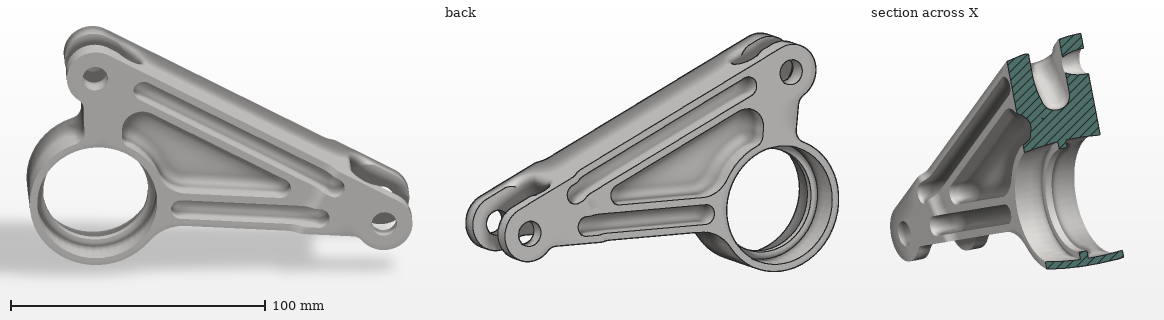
import cadquery as cq
import math


BODY_THICKNESS = 27.0
FORK_THICKNESS = 32.2
WEB_THICKNESS = 4.0

RING_RADIUS = 26.5
BORE_RADIUS = 23.6
LIP_RADIUS = 20.7
LIP_WIDTH = 3.0

LEFT_PIN_X = -26.4
PIN_SPACING = 130.1
PIN_Y = 46.0
LUG_RADIUS = 11.2
PIN_HOLE_RADIUS = 5.0

LOWER_ANGLE = 25.0
LOWER_OFFSET = 8.1
NECK_ANGLE = -60.0
NECK_OFFSET = 4.5
OUTLINE_FILLET = 5.0
RING_TO_ARM_FILLET = 16.7

STEP_START_X = 71.3
STEP_ANGLE = math.radians(40)
STEP_HOLLOW_RADIUS = 6.0
STEP_ROUND_RADIUS = 3.0

RIB_WIDTH = 3.0
GROOVE_RADIUS = 4.0
TOP_GROOVE_ENDS_X = (-7.0, 79.0)
LOWER_GROOVE_ENDS_X = (30.5, 80.0)
POCKET_CORNER_RADIUS = 4.1
POCKET_LARGE_RADIUS = 8.0
POCKET_RING_CORNER_RADIUS = 12.5
POCKET_NECK_OFFSET = -10.3

SLOT_CORNER_RADIUS = 5.0
SLOT_FLOOR_RADIUS = 4.8
SLOT_LIP_RADIUS = 3.0
LEFT_SLOT_HALF_WIDTH = 5.6
LEFT_SLOT_END_X = -11.3
LEFT_SLOT_FLOOR_Y = 32.6
RIGHT_SLOT_HALF_WIDTH = 10.3
RIGHT_SLOT_END_X = 84.4

ROLL = -29.5
ELEVATION = 9.5
YAW = 29.1

RIGHT_PIN_X = LEFT_PIN_X + PIN_SPACING
TOP_Y = PIN_Y + LUG_RADIUS
TOP_GROOVE_Y = TOP_Y - RIB_WIDTH - GROOVE_RADIUS
LOWER_GROOVE_OFFSET = LOWER_OFFSET - RIB_WIDTH - GROOVE_RADIUS
POCKET_TOP_Y = TOP_GROOVE_Y - GROOVE_RADIUS - RIB_WIDTH
POCKET_LOWER_OFFSET = LOWER_GROOVE_OFFSET - GROOVE_RADIUS - RIB_WIDTH
FLOOR_Z = WEB_THICKNESS / 2
LIP_MARGIN = 2 * SLOT_LIP_RADIUS
CLEAR = 88.1


class Edge:
    """Straight edge running at an angle, a signed distance outside (to the right of) the ring centre."""

    def __init__(self, angle, offset):
        turn = math.radians(angle)
        self.along = cq.Vector(math.cos(turn), math.sin(turn))
        self.outward = cq.Vector(math.sin(turn), -math.cos(turn))
        self.foot = self.outward * offset

    def nearest(self, point):
        return self.foot + self.along * cq.Vector(*point).dot(self.along)

    def at_x(self, x):
        return self.foot + self.along * ((x - self.foot.x) / self.along.x)

    def at_y(self, y):
        return self.foot + self.along * ((y - self.foot.y) / self.along.y)

    def meet_circle(self, centre, radius, side):
        """Crossing with a circle, ahead of (side = 1) or behind (side = -1) its centre."""
        middle = self.nearest(centre)
        half_chord = math.sqrt(radius**2 - (middle - cq.Vector(*centre)).Length ** 2)
        return middle + self.along * (side * half_chord)

    def meet_edge(self, other):
        gap = (other.foot - self.foot).dot(other.outward)
        return self.foot + self.along * (gap / self.along.dot(other.outward))


def polygon(points):
    return [(p.x, p.y) for p in points]


def symmetric_prism(outline, half_height):
    """Solid extruded from an outline by half_height to both sides of its plane."""
    return outline.extrude(half_height, both=True)


def fillet_upright(solid, point, radius):
    """Round the upright edge that stands closest to a point of the outline."""
    nearest = cq.selectors.NearestToPointSelector((point.x, point.y, solid.val().Center().z))
    return solid.edges("|Z").edges(nearest).fillet(radius)


ring_centre = (0, 0)
left_pin = (LEFT_PIN_X, PIN_Y)
right_pin = (RIGHT_PIN_X, PIN_Y)
lower_edge = Edge(LOWER_ANGLE, LOWER_OFFSET)
neck_edge = Edge(NECK_ANGLE, NECK_OFFSET)


def make_plate():
    """Outline of the whole bracket at fork thickness: arm, two lugs and ring, blended together."""
    half = FORK_THICKNESS / 2
    arm_corners = [
        cq.Vector(LEFT_PIN_X, TOP_Y),
        neck_edge.nearest(left_pin),
        neck_edge.meet_edge(lower_edge),
        lower_edge.nearest(right_pin),
        cq.Vector(RIGHT_PIN_X, TOP_Y),
    ]
    plate = symmetric_prism(cq.Workplane().polyline(polygon(arm_corners)).close(), half)
    plate = plate.union(symmetric_prism(cq.Workplane().circle(RING_RADIUS), half))
    lugs = cq.Workplane().pushPoints([left_pin, right_pin]).circle(LUG_RADIUS)
    plate = plate.union(symmetric_prism(lugs, half))
    plate = plate.clean()
    blends = [
        (neck_edge.meet_circle(left_pin, LUG_RADIUS, 1), OUTLINE_FILLET),
        (neck_edge.meet_circle(ring_centre, RING_RADIUS, -1), OUTLINE_FILLET),
        (lower_edge.meet_circle(ring_centre, RING_RADIUS, 1), RING_TO_ARM_FILLET),
        (lower_edge.meet_circle(right_pin, LUG_RADIUS, -1), OUTLINE_FILLET),
    ]
    for corner, radius in blends:
        plate = fillet_upright(plate, corner, radius)
    return plate


def make_face_relief():
    """Material above the body face, ending at the right in an S-shaped rise to the fork face."""
    body_z = BODY_THICKNESS / 2
    fork_z = FORK_THICKNESS / 2
    arc_radii = STEP_HOLLOW_RADIUS + STEP_ROUND_RADIUS
    straight_rise = fork_z - body_z - arc_radii * (1 - math.cos(STEP_ANGLE))
    straight_run = straight_rise / math.tan(STEP_ANGLE)
    step_end_x = STEP_START_X + arc_radii * math.sin(STEP_ANGLE) + straight_run

    def on_hollow(angle):
        x = STEP_START_X + STEP_HOLLOW_RADIUS * math.sin(angle)
        return (x, body_z + STEP_HOLLOW_RADIUS * (1 - math.cos(angle)))

    def on_round(angle):
        x = step_end_x - STEP_ROUND_RADIUS * math.sin(angle)
        return (x, fork_z - STEP_ROUND_RADIUS * (1 - math.cos(angle)))

    profile = (
        cq.Workplane("XZ")
        .moveTo(-CLEAR, body_z)
        .lineTo(STEP_START_X, body_z)
        .threePointArc(on_hollow(STEP_ANGLE / 2), on_hollow(STEP_ANGLE))
        .lineTo(*on_round(STEP_ANGLE))
        .threePointArc(on_round(STEP_ANGLE / 2), (step_end_x, fork_z))
        .lineTo(step_end_x, CLEAR)
        .lineTo(-CLEAR, CLEAR)
        .close()
    )
    return symmetric_prism(profile, CLEAR)


def make_groove(start, end, angle):
    """Round-bottomed groove from the web up through the face."""
    middle = (start + end) * 0.5
    spacing = (end - start).Length
    axis_z = FLOOR_Z + GROOVE_RADIUS
    upper = (
        cq.Workplane(origin=(middle.x, middle.y, axis_z))
        .slot2D(spacing + 2 * GROOVE_RADIUS, 2 * GROOVE_RADIUS, angle)
        .extrude(CLEAR)
    )
    axis_start = cq.Vector(start.x, start.y, axis_z)
    floor = cq.Workplane(cq.Solid.makeCylinder(GROOVE_RADIUS, spacing, axis_start, end - start))
    groove = upper.union(floor)
    for tip in (start, end):
        groove = groove.union(cq.Workplane(origin=(tip.x, tip.y, axis_z)).sphere(GROOVE_RADIUS))
    return groove


def make_pocket():
    """Flat-floored triangular pocket that keeps clear of the ring and follows the ribs and neck."""
    lower_side = Edge(LOWER_ANGLE, POCKET_LOWER_OFFSET)
    neck_side = Edge(NECK_ANGLE, POCKET_NECK_OFFSET)
    upper_left = neck_side.at_y(POCKET_TOP_Y)
    upper_right = lower_side.at_y(POCKET_TOP_Y)
    corners = [upper_left, neck_side.meet_edge(lower_side), upper_right]
    pocket = cq.Workplane(origin=(0, 0, FLOOR_Z)).polyline(polygon(corners)).close().extrude(CLEAR)
    pocket = pocket.cut(symmetric_prism(cq.Workplane().circle(RING_RADIUS), 2 * CLEAR))
    rounds = [
        (upper_left, POCKET_LARGE_RADIUS),
        (upper_right, POCKET_CORNER_RADIUS),
        (neck_side.meet_circle(ring_centre, RING_RADIUS, -1), POCKET_CORNER_RADIUS),
        (lower_side.meet_circle(ring_centre, RING_RADIUS, 1), POCKET_RING_CORNER_RADIUS),
    ]
    for corner, radius in rounds:
        pocket = fillet_upright(pocket, corner, radius)
    return pocket.faces("<Z").edges().fillet(GROOVE_RADIUS)


def make_face_cuts():
    """Everything removed from the front half, mirrored onto the back half."""
    top_start, top_end = [cq.Vector(x, TOP_GROOVE_Y) for x in TOP_GROOVE_ENDS_X]
    lower_axis = Edge(LOWER_ANGLE, LOWER_GROOVE_OFFSET)
    lower_start, lower_end = [lower_axis.at_x(x) for x in LOWER_GROOVE_ENDS_X]
    counterbore = cq.Workplane(origin=(0, 0, LIP_WIDTH / 2)).circle(BORE_RADIUS).extrude(CLEAR)
    front = [
        make_face_relief(),
        make_groove(top_start, top_end, 0),
        make_groove(lower_start, lower_end, LOWER_ANGLE),
        make_pocket(),
        counterbore,
    ]
    return front + [cut.mirror("XY") for cut in front]


def slot_end(centre_x, half_width, low_y, high_y):
    """Round-cornered end of a fork slot, standing along y."""
    plane = cq.Workplane("XZ", origin=(centre_x, high_y, 0))
    return plane.slot2D(2 * half_width, 2 * SLOT_CORNER_RADIUS, 90).extrude(high_y - low_y)


def make_slot(centre_x, half_width, low_y, opening):
    """Fork slot from low_y to above the top edge, open towards +x (opening 1) or -x (opening -1)."""
    high_y = TOP_Y + CLEAR
    run_centre = (centre_x + opening * CLEAR / 2, (low_y + high_y) / 2, 0)
    run = cq.Workplane().box(CLEAR, high_y - low_y, 2 * half_width).translate(run_centre)
    return slot_end(centre_x, half_width, low_y, high_y).union(run).clean()


def make_slot_lip(centre_x, half_width, end_x):
    """Cutter that rolls the rim of a slot end over onto the top edge of the bracket."""
    length = 2 * (SLOT_CORNER_RADIUS + LIP_MARGIN)
    width = 2 * (half_width + LIP_MARGIN)
    plate = cq.Workplane("XZ", origin=(centre_x, TOP_Y, 0)).rect(length, width).extrude(-LIP_MARGIN)
    lip = plate.union(slot_end(centre_x, half_width, TOP_Y - LIP_MARGIN, TOP_Y))
    rim = cq.selectors.NearestToPointSelector((end_x, TOP_Y, 0))
    return lip.edges(rim).fillet(SLOT_LIP_RADIUS)


def make_left_slot():
    centre_x = LEFT_SLOT_END_X - SLOT_CORNER_RADIUS
    slot = make_slot(centre_x, LEFT_SLOT_HALF_WIDTH, LEFT_SLOT_FLOOR_Y, -1)
    slot = slot.faces("<Y").edges("not <X").fillet(SLOT_FLOOR_RADIUS)
    return slot.union(make_slot_lip(centre_x, LEFT_SLOT_HALF_WIDTH, LEFT_SLOT_END_X))


def make_right_slot():
    centre_x = RIGHT_SLOT_END_X + SLOT_CORNER_RADIUS
    slot = make_slot(centre_x, RIGHT_SLOT_HALF_WIDTH, -CLEAR, 1)
    return slot.union(make_slot_lip(centre_x, RIGHT_SLOT_HALF_WIDTH, RIGHT_SLOT_END_X))


def make_bracket():
    bracket = make_plate()
    for cut in make_face_cuts():
        bracket = bracket.cut(cut)
    bracket = bracket.cut(make_left_slot()).cut(make_right_slot())
    bracket = bracket.cut(symmetric_prism(cq.Workplane().circle(LIP_RADIUS), CLEAR))
    pin_holes = cq.Workplane().pushPoints([left_pin, right_pin]).circle(PIN_HOLE_RADIUS)
    return bracket.cut(symmetric_prism(pin_holes, CLEAR))


result = (
    make_bracket()
    .rotate((0, 0, 0), (0, 0, 1), ROLL)
    .rotate((0, 0, 0), (1, 0, 0), 90 - ELEVATION)
    .rotate((0, 0, 0), (0, 0, 1), YAW)
)